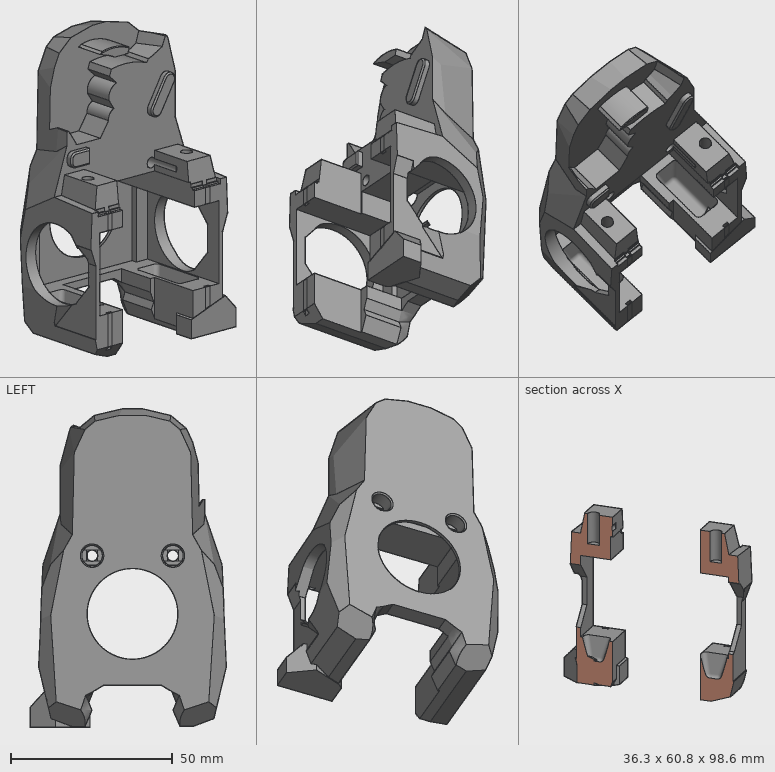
import cadquery as cq

HALF_WIDTH_LIMIT = 30.0
OVER = 10.0
PLATE_DEPTH = 8.35
UPPER_TOP = 98.59
BODY_DEPTH = 18.4
ARM_END = 36.2
TOTAL_DEPTH = 36.33
FOOT_BOTTOM = 0.3
ARM_TOP_FRONT = 50.4
ARM_TOP_REAR = 49.4

OPEN_EDGE_Z = 70.5
WING_ROOT_Y = 13.1
WING_ROOT_Z = 87.8
HOOK_CHAMFER = 0.3

FAN_HOLE_DIAMETER = 28.0
FAN_CENTRE_Z = 35.1
FRONT_SKIN = 1.0
FAN_SPACE_TOP = 50.1
SCREW_RELIEF_TOP = 52.5
FAN_SPACE_HALF_WIDTH = 14.6
FRONT_GAP_HALF_WIDTH = 20.0

SCREW_SPACING = 25.0
SCREW_Z = 53.1
SCREW_DIAMETER = 3.4
SCREW_HEAD_DIAMETER = 6.35
SCREW_HEAD_DEPTH = 5.0
SCREW_MOUTH_CHAMFER = 0.45
BRIDGE_STEP = 0.3

INTAKE_X = 19.5
INTAKE_Z = 28.9
INTAKE_RADIUS = 13.2
INTAKE_FLAT_X = {1: 30.9, -1: 32.8}
INTAKE_FLAT_HALF = 4.6
INTAKE_SLANT_RUN = 6.0
INTAKE_SLANT_HALF = 11.4
INTAKE_BULGE = 0.5
ARM_CAVITY_FRONT = 3.0
ARM_CAVITY_FLOOR = 15.5
ARM_CAVITY_TOP = 42.4
ARM_CAVITY_OUTER = 24.6

LUG_TOP = 56.8
LUG_OUTER = 23.4
LUG_END = 33.5
LUG_DRAFT = 1.8
LUG_END_DRAFT = 1.0
LUG_INNER = {1: 13.9, -1: 15.2}
LUG_HOLE_DIAMETER = 3.7
LUG_HOLE_DEPTH = 10.0
LUG_HOLE_X = 25.9
LUG_HOLE_Y = 20.4

PAD_THICKNESS = 2.1
PAD_CHAMFER = 0.5


def trim(body, facet, inside):
    """Cut away everything beyond the plane through three points, keeping the inside point."""
    reach = 400.0
    origin, second, third = (cq.Vector(*p) for p in facet)
    along = second - origin
    normal = along.cross(third - origin)
    if normal.dot(cq.Vector(*inside) - origin) > 0:
        normal = -normal
    plane = cq.Plane(origin=origin, xDir=along, normal=normal)
    return body.cut(cq.Workplane(plane).rect(reach, reach).extrude(reach))


def box(x0, x1, y0, y1, z0, z1):
    return cq.Workplane().box(x1 - x0, y1 - y0, z1 - z0, centered=False).translate((x0, y0, z0))


def prism_x(points, x0, x1):
    """Outline given as (y, z) pairs, extruded along X."""
    return cq.Workplane("YZ", origin=(x0, 0, 0)).polyline(points).close().extrude(x1 - x0)


def mirrored(points):
    """Open (y, z) outline on the +Y side completed with its mirror image."""
    return points + [(-y, z) for y, z in reversed(points)]


def bar_x(diameter, x0, x1, y, z):
    return cq.Workplane("YZ", origin=(x0, y, z)).circle(diameter / 2).extrude(x1 - x0)


WAIST = (0, -18.6, 59.6)
WAIST_BEND = (13.2, -22.1, 62.7)
WAIST_REAR = (BODY_DEPTH, -22.4, 66.0)


def upper_half():
    """The -Y half of the upper body: a convex block bounded by flat facets."""
    temple = (0, -18.0, 85.0)
    shoulder = (0, -14.7, 92.1)
    crown = (0, -11.6, 94.7)
    top = (0, -4.0, 96.5)
    d = PLATE_DEPTH
    facets = [
        [top, (0, 0, 96.5), (d, 0, UPPER_TOP)],
        [top, crown, (d, -3.0, UPPER_TOP)],
        [crown, shoulder, (d, -11.6, 96.7)],
        [shoulder, temple, (d, -16.7, 92.4)],
        [temple, (d, -18.6, 88.4), (d, -20.5, 81.3)],
        [temple, WAIST, WAIST_BEND],
        [WAIST_BEND, WAIST_REAR, (WAIST_BEND[0], WAIST_BEND[1], 80.0)],
    ]
    body = box(0, BODY_DEPTH, -HALF_WIDTH_LIMIT, 0, ARM_TOP_FRONT, UPPER_TOP + OVER)
    for facet in facets:
        body = trim(body, facet, (1.0, -1.0, 70.0))
    return body


def lower_half():
    """The -Y half of the lower body with its arm: a convex block bounded by flat facets."""
    hip, widest = (0, -21.3, 54.8), (0, -25.3, 34.7)
    foot, toe = (0, -23.6, 7.9), (0, -16.0, 5.4)
    bevel_hip, bevel_arm = (3.9, -25.3, 50.5), (5.2, -27.8, 43.8)
    bevel_low = (5.1, -29.05, 18.7)
    heel_front, heel_rear = (5.8, -25.2, 2.7), (ARM_END, -25.2, 2.7)
    arm_top_front = (BODY_DEPTH, -27.7, ARM_TOP_FRONT)
    arm_top_rear = (ARM_END, -27.8, ARM_TOP_REAR)
    facets = [
        [WAIST, WAIST_REAR, bevel_hip],
        [WAIST_REAR, bevel_hip, arm_top_front],
        [hip, widest, bevel_arm],
        [widest, foot, bevel_low],
        [arm_top_front, arm_top_rear, bevel_low],
        [bevel_low, heel_front, heel_rear],
        [heel_front, heel_rear, (ARM_END, -18.8, FOOT_BOTTOM)],
        [foot, toe, heel_front],
    ]
    body = box(0, ARM_END, -HALF_WIDTH_LIMIT, 0, FOOT_BOTTOM, WAIST_REAR[2])
    for facet in facets:
        body = trim(body, facet, (15.0, -1.0, 30.0))
    above_arm = [(BODY_DEPTH, ARM_TOP_FRONT), (ARM_END, ARM_TOP_REAR),
                 (ARM_END, UPPER_TOP), (BODY_DEPTH, UPPER_TOP)]
    return body.cut(cq.Workplane("XZ").polyline(above_arm).close().extrude(HALF_WIDTH_LIMIT))


def outer_body():
    half = upper_half().union(lower_half())
    return half.union(half.mirror("XZ")).clean()


def upper_rear_space():
    """Space removed behind the upper plate; leaves the +Y wing and a scalloped middle post."""
    top = UPPER_TOP + OVER
    outside = 40.0
    return (
        cq.Workplane("YZ", origin=(PLATE_DEPTH, 0, 0))
        .moveTo(WING_ROOT_Y, top)
        .lineTo(WING_ROOT_Y, WING_ROOT_Z)
        .lineTo(11.3, 87.1)
        .lineTo(10.5, 86.0)
        .threePointArc((3.5, 87.5), (-4.0, 87.0))
        .lineTo(-4.8, 84.8)
        .lineTo(-1.9, 82.1)
        .threePointArc((-4.6, 79.8), (-5.0, 77.0))
        .lineTo(-3.0, 74.0)
        .threePointArc((-4.8, 72.4), (-5.2, 70.5))
        .lineTo(-8.6, 65.5)
        .lineTo(-18.3, 65.5)
        .lineTo(-21.6, OPEN_EDGE_Z)
        .lineTo(-outside, OPEN_EDGE_Z)
        .lineTo(-outside, top)
        .close()
        .extrude(BODY_DEPTH + OVER - PLATE_DEPTH)
    )


def wing_inner_taper():
    """Space along the inner face of the +Y wing, which slants and tapers with its outside."""
    top = UPPER_TOP + OVER
    rim_z = 93.0
    front_knee, rear_knee = (15.0, 89.0), (17.0, 89.9)
    rim_offset = 1.3

    def section(plane, knee):
        rim_y = knee[0] + rim_offset
        return plane.polyline([
            (WING_ROOT_Y - 1, top), (WING_ROOT_Y - 1, WING_ROOT_Z), (WING_ROOT_Y, WING_ROOT_Z),
            knee, (rim_y, rim_z), (rim_y, top),
        ]).close()

    front = section(cq.Workplane("YZ", origin=(PLATE_DEPTH, 0, 0)), front_knee)
    rear = front.workplane(offset=BODY_DEPTH - PLATE_DEPTH)
    return section(rear, rear_knee).loft(ruled=True)


def cable_hook():
    """Curved tongue standing on the rear of the upper plate."""
    return (
        cq.Workplane("YZ", origin=(PLATE_DEPTH, 0, 0))
        .moveTo(3.4, 92.6)
        .threePointArc((-2.0, 93.9), (-7.6, 93.4))
        .lineTo(-8.6, 92.7)
        .threePointArc((-5.6, 91.8), (-2.6, 90.6))
        .lineTo(2.8, 90.6)
        .close()
        .extrude(BODY_DEPTH - PLATE_DEPTH)
        .faces(">X").edges(">Z").chamfer(HOOK_CHAMFER)
    )


def wing_relief():
    """Sloped lead-in along the open -Y edge, next to the upper plate."""
    low_z = 68.5
    wall_y = -18.6
    wedge = [(PLATE_DEPTH, low_z), (WAIST_BEND[0], OPEN_EDGE_Z), (PLATE_DEPTH, OPEN_EDGE_Z)]
    return cq.Workplane("XZ", origin=(0, wall_y, 0)).polyline(wedge).close().extrude(OVER)


def fan_space():
    tunnel = bar_x(FAN_HOLE_DIAMETER, -OVER, ARM_END + OVER, 0, FAN_CENTRE_Z)
    pocket = box(FRONT_SKIN, ARM_END + OVER, -FAN_SPACE_HALF_WIDTH, FAN_SPACE_HALF_WIDTH,
                 ARM_CAVITY_FLOOR, FAN_SPACE_TOP)
    front_gap = box(FRONT_SKIN, ARM_CAVITY_FRONT, -FRONT_GAP_HALF_WIDTH, FRONT_GAP_HALF_WIDTH,
                    ARM_CAVITY_FLOOR, ARM_CAVITY_TOP)
    relief = box(FRONT_SKIN, SCREW_HEAD_DEPTH, -FAN_SPACE_HALF_WIDTH, FAN_SPACE_HALF_WIDTH,
                 FAN_CENTRE_Z, SCREW_RELIEF_TOP)
    between_arms = box(BODY_DEPTH, ARM_END + OVER, -LUG_INNER[-1], LUG_INNER[1],
                       -OVER, LUG_TOP)
    return tunnel.union(pocket).union(front_gap).union(relief).union(between_arms)


def bottom_passage():
    """Opening between the feet, narrowing from the front face to the feet's inner sides."""
    narrowing_depth = 5.0
    below = 0.0
    front = mirrored([(15.6, below), (16.0, 5.4), (14.5, 9.9), (12.1, 11.1), (8.9, 13.0)])
    inner = mirrored([(14.8, below), (12.5, 5.3), (13.5, 7.7), (12.1, 11.1), (8.9, 13.0)])
    mouth = (
        cq.Workplane("YZ").polyline(front).close()
        .workplane(offset=narrowing_depth).polyline(inner).close()
        .loft(ruled=True)
    )
    channel = prism_x(inner, narrowing_depth, ARM_END + OVER)
    well_half, well_floor = 12.1, 11.0
    well = box(narrowing_depth, ARM_END + OVER, -well_half, well_half, well_floor, ARM_CAVITY_FLOOR + 1)
    return mouth.union(channel).union(well)


def side_intake(side):
    """Round intake through an arm, closed at the rear by a flat and two slanted lines."""
    flat_x = INTAKE_FLAT_X[side]
    slant_x = flat_x - INTAKE_SLANT_RUN
    bulge_x = (INTAKE_X + slant_x) / 2
    bulge_z = (INTAKE_RADIUS + INTAKE_SLANT_HALF) / 2 + INTAKE_BULGE
    outline = (
        cq.Workplane("XZ", origin=(0, 0, INTAKE_Z))
        .moveTo(INTAKE_X, INTAKE_RADIUS)
        .threePointArc((INTAKE_X - INTAKE_RADIUS, 0), (INTAKE_X, -INTAKE_RADIUS))
        .threePointArc((bulge_x, -bulge_z), (slant_x, -INTAKE_SLANT_HALF))
        .lineTo(flat_x, -INTAKE_FLAT_HALF)
        .lineTo(flat_x, INTAKE_FLAT_HALF)
        .lineTo(slant_x, INTAKE_SLANT_HALF)
        .threePointArc((bulge_x, bulge_z), (INTAKE_X, INTAKE_RADIUS))
        .close()
    )
    return outline.extrude(-side * HALF_WIDTH_LIMIT)


def arm_cavity(side):
    """Blower space inside an arm and the tapered duct pocket in its floor."""
    overlap_y = 7.0
    y0, y1 = sorted((side * overlap_y, side * ARM_CAVITY_OUTER))
    space = box(ARM_CAVITY_FRONT, ARM_END + OVER, y0, y1, ARM_CAVITY_FLOOR, ARM_CAVITY_TOP)
    rim_x, rim_y = (8.2, 28.4), (15.2, 24.0)
    depth, draft_angle, rounding = 7.5, 15, 1.5
    pocket = (
        cq.Workplane("XY", origin=(sum(rim_x) / 2, side * sum(rim_y) / 2, ARM_CAVITY_FLOOR))
        .rect(rim_x[1] - rim_x[0], rim_y[1] - rim_y[0])
        .extrude(-depth, taper=draft_angle)
        .edges("not(>Z)").fillet(rounding)
    )
    return space.union(pocket)


def arm_end_bevel():
    """Slanted lower rear corner of the -Y arm."""
    start_x, end_z = 33.0, 4.7
    corner = [(start_x, FOOT_BOTTOM), (ARM_END, FOOT_BOTTOM), (ARM_END, end_z)]
    return cq.Workplane("XZ").polyline(corner).close().extrude(HALF_WIDTH_LIMIT)


def panel_recess(side):
    """Shallow recess in the lower rear of an arm's outer face, with a slanted front end."""
    panel_y, outer_y = -26.2, -28.2
    tip = (17.4, panel_y, 8.1)
    slope_start, slope_base, slope_top = 30.0, 32.0, 37.6
    end = ARM_END + 1
    front_end = [tip, (25.1, panel_y, 16.8), (20.7, outer_y, 15.8)]
    front_top = front_end[1]
    recess = box(tip[0], end, panel_y - OVER, panel_y, tip[2], front_top[2])
    recess = trim(recess, front_end, (end, panel_y, tip[2]))
    recess = recess.union(box(front_top[0], end, panel_y - OVER, panel_y, front_top[2], slope_base))
    slope = [(panel_y, slope_base), (outer_y, slope_top), (panel_y - OVER, slope_top),
             (panel_y - OVER, slope_base)]
    recess = recess.union(prism_x(slope, slope_start, end))
    return recess if side < 0 else recess.mirror("XZ")


def arm_lug(side):
    """Raised lug on an arm, drafted on its outer side and rear end."""
    base_z = 48.0
    inner = -LUG_INNER[side]
    front = BODY_DEPTH - 1
    base_end, base_outer = LUG_END + LUG_END_DRAFT, LUG_OUTER + LUG_DRAFT
    base = [(front, inner), (base_end, inner), (base_end, -base_outer), (front, -base_outer)]
    top = [(front, inner), (LUG_END, inner), (LUG_END, -LUG_OUTER), (front, -LUG_OUTER)]
    lug = (
        cq.Workplane("XY", origin=(0, 0, base_z)).polyline(base).close()
        .workplane(offset=LUG_TOP - base_z).polyline(top).close()
        .loft(ruled=True)
    )
    return lug if side < 0 else lug.mirror("XZ")


def arm_end_step(side):
    """Two-level step and cable-tie slot at the rear end of an arm's top."""
    outer = LUG_OUTER + LUG_DRAFT
    slot_y = (-21.1, -19.3)
    slot_end = 36.0
    rear = ARM_END + OVER
    steps = box(34.5, rear, -outer, 0, 48.4, LUG_TOP)
    steps = steps.union(box(35.1, rear, -outer, 0, 47.8, LUG_TOP))
    steps = steps.union(box(34.2, slot_end, *slot_y, 46.8, LUG_TOP))
    steps = steps.union(box(35.2, slot_end, *slot_y, -OVER, LUG_TOP))
    return steps if side < 0 else steps.mirror("XZ")


def foot_block():
    """Block below the +Y arm, with a sloped top and slanted front corners."""
    inner_y, outer_y, top_z = 13.1, 31.69, 6.2
    slope_y, slope_z = 27.2, 11.1
    plan = [(28.0, 14.5), (29.4, inner_y), (TOTAL_DEPTH, inner_y), (TOTAL_DEPTH, outer_y),
            (29.6, outer_y), (24.5, 23.8)]
    block = cq.Workplane("XY").polyline(plan).close().extrude(slope_z)
    section = [(inner_y, 0), (outer_y, 0), (outer_y, top_z), (slope_y, slope_z), (inner_y, top_z)]
    return block.intersect(prism_x(section, 0, TOTAL_DEPTH))


def rear_pads():
    """Two rounded pads standing on the rear face of the main body."""
    slant_length, slant_width, slant_angle = 14.8, 4.7, 59
    level_length, level_height, end_rounding = 7.9, 5.1, 2.0
    slanted = (
        cq.Workplane("YZ", origin=(BODY_DEPTH, 15.8, 74.9))
        .transformed(rotate=(0, 0, slant_angle))
        .slot2D(slant_length, slant_width).extrude(PAD_THICKNESS)
    )
    level = (
        cq.Workplane("YZ", origin=(BODY_DEPTH, -18.35, 61.35))
        .rect(level_length, level_height).extrude(PAD_THICKNESS)
        .edges("|X and <Y").fillet(end_rounding)
    )
    pads = [pad.faces(">X").chamfer(PAD_CHAMFER) for pad in (slanted, level)]
    return pads[0].union(pads[1])


def screw_hole(y):
    hole = bar_x(SCREW_DIAMETER, -OVER, BODY_DEPTH + OVER, y, SCREW_Z)
    head = bar_x(SCREW_HEAD_DIAMETER, 0, SCREW_HEAD_DEPTH, y, SCREW_Z)
    mouth = (
        cq.Workplane("YZ", origin=(0, y, SCREW_Z))
        .circle(SCREW_HEAD_DIAMETER / 2 + SCREW_MOUTH_CHAMFER)
        .workplane(offset=SCREW_MOUTH_CHAMFER).circle(SCREW_HEAD_DIAMETER / 2).loft()
    )
    half = SCREW_DIAMETER / 2
    first_end = SCREW_HEAD_DEPTH + BRIDGE_STEP
    slot = bar_x(SCREW_HEAD_DIAMETER, SCREW_HEAD_DEPTH, first_end, y, SCREW_Z).intersect(
        box(0, BODY_DEPTH, y - OVER, y + OVER, SCREW_Z - half, SCREW_Z + half))
    square = box(first_end, first_end + BRIDGE_STEP, y - half, y + half, SCREW_Z - half, SCREW_Z + half)
    return hole.union(head).union(mouth).union(slot).union(square)


def lug_hole(side):
    return (
        cq.Workplane("XY", origin=(LUG_HOLE_X, side * LUG_HOLE_Y, LUG_TOP))
        .circle(LUG_HOLE_DIAMETER / 2).extrude(-LUG_HOLE_DEPTH)
    )


result = outer_body().cut(upper_rear_space()).cut(wing_relief()).cut(wing_inner_taper())
for side in (1, -1):
    result = result.cut(arm_end_step(side)).union(arm_lug(side)).cut(panel_recess(side))
    result = result.cut(arm_cavity(side)).cut(lug_hole(side))
    result = result.cut(screw_hole(side * SCREW_SPACING / 2)).cut(side_intake(side))
result = result.cut(fan_space()).cut(bottom_passage()).cut(arm_end_bevel())
result = result.union(foot_block()).union(rear_pads()).union(cable_hook()).clean()